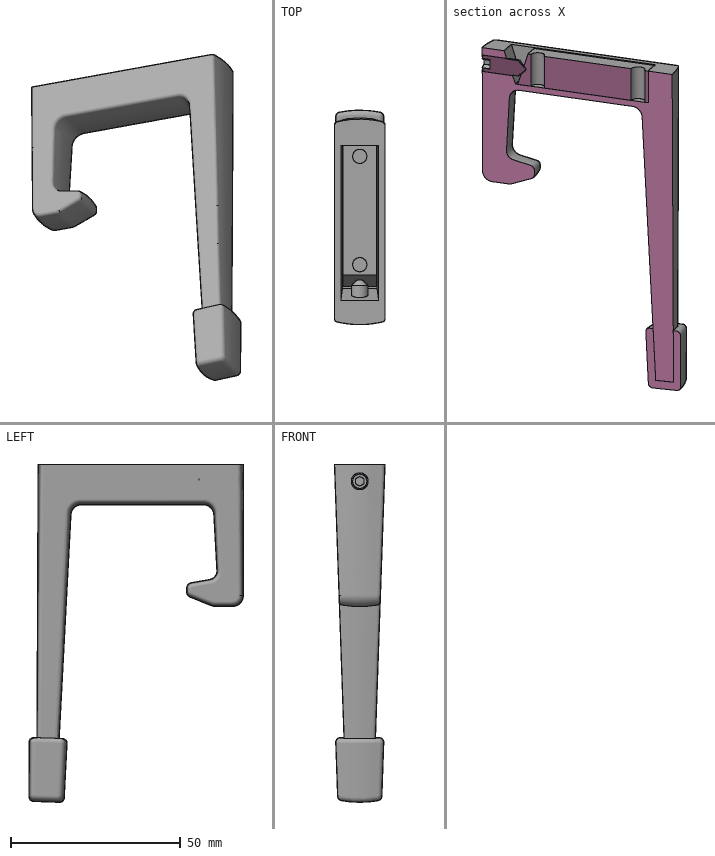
import cadquery as cq
import math


top_width = 15.0
draft = math.tan(math.radians(2.0))
crown_radius = 30.0
edge_fillet = 1.0
spare = 1.0
stock_margin = 0.25

rear_top_y = 60.8
rear_slope = math.tan(math.radians(0.25))
beam_depth = 12.0
leg_inner_y = 50.88
leg_inner_slope = math.tan(math.radians(3.0))
arm_inner_y = 8.95
inner_radius = 3.0
heel_radius = 2.4
hook_heel = (7.85, -33.6)
hook_tip_y = 16.9
hook_tip_top_z = -35.2
hook_tip_bottom_z = -38.9
hook_belly = (9.0, -42.08)
hook_tip_radius = 1.8
belly_radius = 4.0
toe_radius = 3.3

foot_wall = 2.5
foot_rear_y = 63.48
foot_bottom_rear_z = -99.68
foot_bottom_z = -100.0
foot_top_z = -80.75
foot_tilt = math.tan(math.radians(2.0))
foot_front_top_y = 52.08
foot_fillet = 1.4

stock_low = foot_bottom_z - spare
path_low = stock_low - spare

slot_depth = 10.0
slot_rear_y = 53.0
slot_front_y = 7.1
slot_width = 11.2
slot_floor_width = 10.2
slot_front_slope = math.tan(math.radians(20.0))
block_width = 9.8
block_front_y = 14.65
block_foot_y = 11.35
block_hole_diameter = 4.2
block_hole_ys = (17.75, 49.8)

screw_diameter = 5.0
screw_z = -5.0
screw_head_y = 0.05
screw_length = 14.0
screw_head_chamfer = 0.4
socket_across_flats = 2.5
socket_depth = 2.5


def yz_point(y, z):
    return cq.Vector(0, y, z)


def rounded_path(points, radii):
    """Open wire through YZ points, each inner corner rounded by its radius."""
    vectors = [yz_point(*p) for p in points]
    edges = []
    start = vectors[0]
    for before, corner, after, radius in zip(vectors, vectors[1:], vectors[2:], radii):
        incoming = (before - corner).normalized()
        outgoing = (after - corner).normalized()
        half_angle = incoming.getAngle(outgoing) / 2
        setback = radius / math.tan(half_angle)
        bisector = (incoming + outgoing).normalized()
        arc_middle = corner + bisector * (radius / math.sin(half_angle) - radius)
        arc_start = corner + incoming * setback
        arc_end = corner + outgoing * setback
        edges.append(cq.Edge.makeLine(start, arc_start))
        edges.append(cq.Edge.makeThreePointArc(arc_start, arc_middle, arc_end))
        start = arc_end
    edges.append(cq.Edge.makeLine(start, vectors[-1]))
    return cq.Wire.assembleEdges(edges)


def closed_outline(paths):
    """Join paths end to end with straight lines into a closed wire."""
    edges = []
    for path, following in zip(paths, paths[1:] + paths[:1]):
        edges.extend(path.Edges())
        if (following.startPoint() - path.endPoint()).Length > 0:
            edges.append(cq.Edge.makeLine(path.endPoint(), following.startPoint()))
    return cq.Wire.assembleEdges(edges)


def drafted_stock(outline, width_at_top):
    """Slab of the outline, a little oversize, between flanks that close in downward."""
    slab_width = width_at_top + 2 * spare
    slab = cq.Workplane("YZ").add(outline).toPending().offset2D(stock_margin)
    slab = slab.extrude(slab_width / 2, both=True)
    half_top = width_at_top / 2
    half_low = half_top + draft * stock_low
    wedge = (
        cq.Workplane("XZ")
        .polyline([(-half_top, 0), (half_top, 0), (half_low, stock_low), (-half_low, stock_low)])
        .close()
        .extrude(-(foot_rear_y + spare))
        .translate((0, -spare / 2, 0))
    )
    return slab.intersect(wedge)


def crown_cutter(path):
    """Material outside the crown, swept along a path drawn down the rear and up the front of a body."""
    reach = top_width / 2 + foot_wall + spare
    sag = crown_radius - math.sqrt(crown_radius**2 - reach**2)
    across = cq.Vector(1, 0, 0)
    outward = across.cross(path.tangentAt(0))
    plane = cq.Plane(origin=path.startPoint(), xDir=across, normal=across.cross(outward))
    section = (
        cq.Workplane(plane)
        .moveTo(-reach, -sag)
        .threePointArc((0, 0), (reach, -sag))
        .lineTo(reach, 2 * stock_margin)
        .lineTo(-reach, 2 * stock_margin)
        .close()
    )
    return section.sweep(cq.Workplane(path))


def tilted_half_space(height_at_foot_rear):
    """Everything below the tilted plane that has the given height at the rear of the foot."""
    size = 2 * abs(foot_bottom_z)
    front_height = height_at_foot_rear - foot_rear_y * foot_tilt - spare * foot_tilt
    rear_height = height_at_foot_rear + spare * foot_tilt
    return (
        cq.Workplane("YZ")
        .polyline([(-spare, front_height), (foot_rear_y + spare, rear_height)])
        .lineTo(foot_rear_y + spare, -size)
        .lineTo(-spare, -size)
        .close()
        .extrude(top_width, both=True)
    )


def beyond(start, end):
    """Point a little past the end of a line, so that crowns run out past a sharp corner."""
    length = math.dist(start, end)
    return tuple(b + (b - a) * 2 * spare / length for a, b in zip(start, end))


def straight_path(start, end):
    return rounded_path([beyond(end, start), beyond(start, end)], [])


def round_edges(body, sharp_corners, radius):
    """Fillet the edges along both flanks, and the edges across the body at the sharp outline corners."""
    lengthwise = cq.selectors.BoxSelector(
        (-top_width, -spare, stock_low + spare / 2), (top_width, 2 * foot_rear_y, -spare / 2)
    )
    edges = body.faces("<X or >X").edges(lengthwise)
    for y, z in sharp_corners:
        near_corner = cq.selectors.BoxSelector(
            (-top_width, y - spare, z - spare), (top_width, y + spare, z + spare)
        )
        edges = edges.add(body.edges(near_corner))
    return edges.fillet(radius)


def make_bracket_body():
    rear_top = (rear_top_y - rear_slope * spare, spare)
    rear_low = (rear_top_y - rear_slope * path_low, path_low)
    leg_low = (leg_inner_y + leg_inner_slope * (-beam_depth - path_low), path_low)
    leg_inner = (leg_inner_y, -beam_depth)
    arm_inner = (arm_inner_y, -beam_depth)
    tip_top = (hook_tip_y, hook_tip_top_z)
    tip_bottom = (hook_tip_y, hook_tip_bottom_z)
    toe = (0, hook_belly[1])
    front_top = (0, spare)

    rear = rounded_path([rear_top, rear_low], [])
    inside = rounded_path(
        [leg_low, leg_inner, arm_inner, hook_heel, tip_top, tip_bottom, hook_belly, toe, front_top],
        [inner_radius, inner_radius, heel_radius, hook_tip_radius, hook_tip_radius, belly_radius, toe_radius],
    )
    body = drafted_stock(closed_outline([rear, inside]), top_width)
    for path in (rear, inside):
        body = body.cut(crown_cutter(path))
    body = round_edges(body, [], edge_fillet)
    return body.cut(tilted_half_space(foot_bottom_rear_z + foot_wall))


def make_slot():
    slot_front_floor_y = slot_front_y + slot_depth * slot_front_slope
    length = (
        cq.Workplane("YZ")
        .polyline([(slot_front_y, 0), (slot_rear_y, 0), (slot_rear_y, -slot_depth)])
        .lineTo(slot_front_floor_y, -slot_depth)
        .close()
        .extrude(slot_width, both=True)
    )
    half_top = slot_width / 2
    half_floor = slot_floor_width / 2
    width = (
        cq.Workplane("XZ")
        .polyline([(-half_top, 0), (half_top, 0), (half_floor, -slot_depth), (-half_floor, -slot_depth)])
        .close()
        .extrude(-foot_rear_y)
    )
    return length.intersect(width)


def make_screw_bore():
    return (
        cq.Workplane("XZ", origin=(0, -spare, screw_z))
        .circle(screw_diameter / 2)
        .extrude(-(slot_front_y + slot_depth * slot_front_slope + spare))
    )


def make_screw():
    radius = screw_diameter / 2
    tip_y = screw_head_y + screw_length
    screw = (
        cq.Workplane("XY")
        .moveTo(0, screw_head_y)
        .lineTo(radius - screw_head_chamfer, screw_head_y)
        .lineTo(radius, screw_head_y + screw_head_chamfer)
        .lineTo(radius, tip_y - radius)
        .lineTo(0, tip_y)
        .close()
        .revolve(360, (0, 0, 0), (0, 1, 0))
        .translate((0, 0, screw_z))
    )
    socket = (
        cq.Workplane("XZ", origin=(0, screw_head_y, screw_z))
        .transformed(rotate=(0, 0, 90))
        .polygon(6, socket_across_flats / math.cos(math.pi / 6))
        .extrude(-socket_depth)
    )
    return screw.cut(socket)


def make_block(screw):
    block = (
        cq.Workplane("YZ")
        .polyline([(block_front_y, 0), (slot_rear_y, 0), (slot_rear_y, -slot_depth), (block_foot_y, -slot_depth)])
        .close()
        .extrude(block_width / 2, both=True)
    )
    holes = (
        cq.Workplane("XY")
        .pushPoints([(0, y) for y in block_hole_ys])
        .circle(block_hole_diameter / 2)
        .extrude(-slot_depth)
    )
    return block.cut(holes).cut(screw)


def make_foot(bracket):
    front_bottom_y = foot_front_top_y + leg_inner_slope * (foot_top_z - foot_bottom_z)
    front_bottom_z = foot_bottom_rear_z - (foot_rear_y - front_bottom_y) * foot_tilt
    rear_top = (foot_rear_y, 0)
    rear_bottom = (foot_rear_y, foot_bottom_rear_z)
    front_bottom = (front_bottom_y, front_bottom_z)
    front_top = (foot_front_top_y + leg_inner_slope * foot_top_z, 0)
    corners = [rear_top, rear_bottom, front_bottom, front_top]
    outline = cq.Wire.makePolygon([yz_point(*p) for p in corners], close=True)
    foot = drafted_stock(outline, top_width + 2 * foot_wall)
    for start, end in zip(corners, corners[1:]):
        foot = foot.cut(crown_cutter(straight_path(start, end)))
    foot = round_edges(foot, [rear_bottom, front_bottom], foot_fillet)
    foot = foot.intersect(tilted_half_space(foot_top_z))
    foot = foot.faces(">Z").edges().fillet(foot_fillet)
    return foot.cut(bracket)


bracket = make_bracket_body().cut(make_slot()).cut(make_screw_bore())
screw = make_screw()
block = make_block(screw)
foot = make_foot(bracket)

result = cq.Compound.makeCompound([bracket.val(), block.val(), screw.val(), foot.val()])